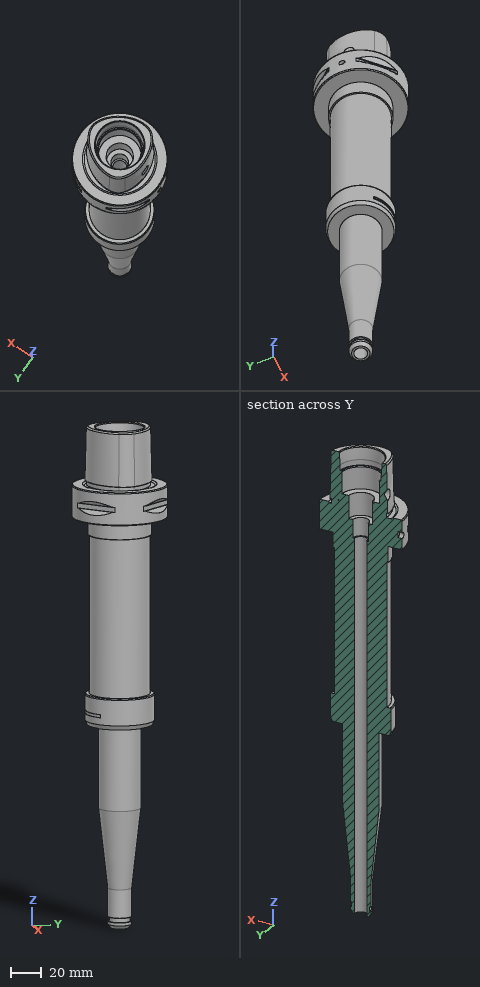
import cadquery as cq
import math

LENGTH = 334
FLANGE_TOP = 296.0
FLANGE_BOTTOM = 274
NECK_BOTTOM = 262.5
COLLAR_TOP = 156.5
COLLAR_BOTTOM = 136.0
CONE_TOP = 80
CONE_BOTTOM = 26.7
TIP_GROOVE_TOP = 7.7
TIP_GROOVE_BOTTOM = 4.7

FLANGE_DIAMETER = 63.0
NECK_DIAMETER = 42.0
BODY_DIAMETER = 40
COLLAR_DIAMETER = 46.0
STEM_DIAMETER = 28.0
SPIGOT_DIAMETER = 16.0
TIP_GROOVE_DIAMETER = 14.0

FLANGE_CHAMFER = 0.7
COLLAR_TOP_CHAMFER = 0.7
COLLAR_CHAMFER_WIDTH = 1.5
COLLAR_CHAMFER_HEIGHT = 3.0
TIP_CHAMFER_WIDTH = 2.0
TIP_CHAMFER_HEIGHT = 2.7

LOBES = 3
SHANK_BASE_RADIUS = 22.0
SHANK_TAPER = 1 / 40
ECCENTRICITY = 1.4
LOBE_HALF_ANGLE = 23.5
SHANK_EDGE_CHAMFER = 1.0
SHANK_UNDERCUT = 1.0
SHANK_FOOT_HEIGHT = 2.0
SHANK_TAPER_START = FLANGE_TOP + SHANK_FOOT_HEIGHT
POINTS_PER_FACE = 9

RECESS_DIAMETER = 48.8
RECESS_FLOOR_DIAMETER = 46.5
RECESS_DEPTH = 1.0

MOUTH_DIAMETER = 33.0
MOUTH_CHAMFER_DEPTH = 0.7
TAPER_TOP_DIAMETER = 32.0
TAPER_BOTTOM_DIAMETER = 30.7
TAPER_DEPTH = 9.5
LEDGE_DEPTH = 13.5
LEDGE_CHAMFER_DIAMETER = 29.0
LEDGE_CHAMFER_DEPTH = 0.7
CHAMBER_DIAMETER = 28.0
CHAMBER_DEPTH = 30
SOCKET_DIAMETER = 17.7
SOCKET_DEPTH = 46.8
COUNTERBORE_DIAMETER = 11.5
COUNTERBORE_DEPTH = 60
COOLANT_DIAMETER = 9.0

DIMPLE_DIAMETER = 8.0
DIMPLE_HEIGHT = 311.5
DIMPLE_CONE_ANGLE = 120
DIMPLE_CLEARANCE = 1.0

SLOT_HEIGHT = 284.5
SLOT_FLOOR_DISTANCE = 28.0
SLOT_FLOOR_WIDTH = 3.5
SLOT_FLANK_DISTANCE = 28.7
SLOT_MOUTH_WIDTH = 9.0
LOCATING_HOLE_DIAMETER = 4.0
LOCATING_HOLE_DEPTH = 3.5

BAND_HEIGHT = 2.0
BAND_MIDDLE = 144.5
BAND_DEPTH = 0.5
BAND_ANGLE = 90
BAND_START = -90 - BAND_ANGLE / 2


def revolve(profile):
    """Turn a closed (radius, height) profile about the Z axis."""
    return cq.Workplane("XZ").polyline(profile).close().revolve(360, (0, 0, 0), (0, 1, 0))


def turned_body():
    flange, neck, body = FLANGE_DIAMETER / 2, NECK_DIAMETER / 2, BODY_DIAMETER / 2
    collar, stem = COLLAR_DIAMETER / 2, STEM_DIAMETER / 2
    spigot, groove = SPIGOT_DIAMETER / 2, TIP_GROOVE_DIAMETER / 2
    return revolve([
        (0, FLANGE_TOP),
        (flange - FLANGE_CHAMFER, FLANGE_TOP),
        (flange, FLANGE_TOP - FLANGE_CHAMFER),
        (flange, FLANGE_BOTTOM + FLANGE_CHAMFER),
        (flange - FLANGE_CHAMFER, FLANGE_BOTTOM),
        (neck, FLANGE_BOTTOM),
        (neck, NECK_BOTTOM),
        (body, NECK_BOTTOM),
        (body, COLLAR_TOP),
        (collar - COLLAR_TOP_CHAMFER, COLLAR_TOP),
        (collar, COLLAR_TOP - COLLAR_TOP_CHAMFER),
        (collar, COLLAR_BOTTOM + COLLAR_CHAMFER_HEIGHT),
        (collar - COLLAR_CHAMFER_WIDTH, COLLAR_BOTTOM),
        (stem, COLLAR_BOTTOM),
        (stem, CONE_TOP),
        (spigot, CONE_BOTTOM),
        (spigot, TIP_GROOVE_TOP),
        (groove, TIP_GROOVE_TOP),
        (groove, TIP_GROOVE_BOTTOM),
        (spigot, TIP_GROOVE_BOTTOM),
        (spigot, TIP_CHAMFER_HEIGHT),
        (spigot - TIP_CHAMFER_WIDTH, 0),
        (0, 0),
    ])


def recess():
    rim, floor = RECESS_DIAMETER / 2, RECESS_FLOOR_DIAMETER / 2
    bottom = FLANGE_TOP - RECESS_DEPTH
    return revolve([(0, FLANGE_TOP), (rim, FLANGE_TOP), (floor, bottom), (0, bottom)])


def shank_point(radius, degrees, height):
    """Point of the lobed outline whose outward normal is turned by the angle from -X."""
    a = math.radians(degrees)
    x = -radius * math.cos(a) + 2 * ECCENTRICITY * math.cos(2 * a) - ECCENTRICITY * math.cos(4 * a)
    y = radius * math.sin(a) + 2 * ECCENTRICITY * math.sin(2 * a) + ECCENTRICITY * math.sin(4 * a)
    return cq.Vector(x, y, height)


def shank_outline(radius, height):
    """Closed outline of alternating flat faces and lobes."""
    pitch = 360 / LOBES
    flat_half_angle = pitch / 2 - LOBE_HALF_ANGLE
    edges = []
    for i in range(LOBES):
        flat_start = i * pitch - flat_half_angle
        lobe_start = i * pitch + flat_half_angle
        next_flat = flat_start + pitch
        for start, end in [(flat_start, lobe_start), (lobe_start, next_flat)]:
            step = (end - start) / (POINTS_PER_FACE - 1)
            points = [shank_point(radius, start + k * step, height) for k in range(POINTS_PER_FACE)]
            edges.append(cq.Edge.makeSpline(points))
    return cq.Wire.assembleEdges(edges)


def shank_stage(bottom_radius, bottom, top_radius, top):
    outlines = [shank_outline(bottom_radius, bottom), shank_outline(top_radius, top)]
    return cq.Workplane(cq.Solid.makeLoft(outlines, True))


def shank():
    chamfer_start = LENGTH - SHANK_EDGE_CHAMFER
    top_radius = SHANK_BASE_RADIUS - SHANK_TAPER * (chamfer_start - SHANK_TAPER_START)
    foot_radius = SHANK_BASE_RADIUS - SHANK_UNDERCUT
    foot = shank_stage(foot_radius, FLANGE_TOP - RECESS_DEPTH, foot_radius, SHANK_TAPER_START)
    taper = shank_stage(SHANK_BASE_RADIUS, SHANK_TAPER_START, top_radius, chamfer_start)
    edge = shank_stage(top_radius, chamfer_start, top_radius - SHANK_EDGE_CHAMFER, LENGTH)
    return foot.union(taper).union(edge)


def bore():
    mouth, taper_top, taper_bottom = MOUTH_DIAMETER / 2, TAPER_TOP_DIAMETER / 2, TAPER_BOTTOM_DIAMETER / 2
    ledge, chamber = LEDGE_CHAMFER_DIAMETER / 2, CHAMBER_DIAMETER / 2
    socket, counterbore, coolant = SOCKET_DIAMETER / 2, COUNTERBORE_DIAMETER / 2, COOLANT_DIAMETER / 2
    return revolve([
        (0, LENGTH),
        (mouth, LENGTH),
        (taper_top, LENGTH - MOUTH_CHAMFER_DEPTH),
        (taper_bottom, LENGTH - TAPER_DEPTH),
        (taper_bottom, LENGTH - LEDGE_DEPTH),
        (ledge, LENGTH - LEDGE_DEPTH),
        (chamber, LENGTH - LEDGE_DEPTH - LEDGE_CHAMFER_DEPTH),
        (chamber, LENGTH - CHAMBER_DEPTH),
        (socket, LENGTH - CHAMBER_DEPTH),
        (socket, LENGTH - SOCKET_DEPTH),
        (counterbore, LENGTH - SOCKET_DEPTH),
        (counterbore, LENGTH - COUNTERBORE_DEPTH),
        (coolant, LENGTH - COUNTERBORE_DEPTH),
        (coolant, 0),
        (0, 0),
    ])


def dimple():
    """Cone that reaches the dimple diameter at the middle of the -X flat."""
    flat_radius = SHANK_BASE_RADIUS - SHANK_TAPER * (DIMPLE_HEIGHT - SHANK_TAPER_START)
    flat_distance = flat_radius - ECCENTRICITY
    slope = math.tan(math.radians(DIMPLE_CONE_ANGLE / 2))
    depth = DIMPLE_DIAMETER / 2 / slope
    tip_distance = flat_distance - depth
    cone_height = depth + DIMPLE_CLEARANCE
    tip = cq.Vector(-tip_distance, 0, DIMPLE_HEIGHT)
    return cq.Workplane(cq.Solid.makeCone(0, cone_height * slope, cone_height, tip, cq.Vector(-1, 0, 0)))


def gripper_slots():
    """Straight slots with parallel walls and flared mouths across the flange at the four diagonals."""
    flange = FLANGE_DIAMETER / 2
    floor, mouth = SLOT_FLOOR_WIDTH / 2, SLOT_MOUTH_WIDTH / 2
    slot = (
        cq.Workplane("XZ")
        .polyline([
            (SLOT_FLOOR_DISTANCE, SLOT_HEIGHT - floor),
            (SLOT_FLOOR_DISTANCE, SLOT_HEIGHT + floor),
            (SLOT_FLANK_DISTANCE, SLOT_HEIGHT + floor),
            (flange, SLOT_HEIGHT + mouth),
            (flange, SLOT_HEIGHT - mouth),
            (SLOT_FLANK_DISTANCE, SLOT_HEIGHT - floor),
        ])
        .close()
        .extrude(flange, both=True)
    )
    slots = cq.Workplane("XY")
    for angle in (45, 135, 225, 315):
        slots = slots.union(slot.rotate((0, 0, 0), (0, 0, 1), angle))
    return slots


def locating_hole():
    plane = cq.Workplane("YZ", origin=(-FLANGE_DIAMETER / 2, 0, SLOT_HEIGHT))
    return plane.circle(LOCATING_HOLE_DIAMETER / 2).extrude(LOCATING_HOLE_DEPTH)


def marking_band():
    collar = COLLAR_DIAMETER / 2
    inner = collar - BAND_DEPTH
    bottom, top = BAND_MIDDLE - BAND_HEIGHT / 2, BAND_MIDDLE + BAND_HEIGHT / 2
    band = (
        cq.Workplane("XZ")
        .polyline([(inner, bottom), (collar, bottom), (collar, top), (inner, top)])
        .close()
        .revolve(BAND_ANGLE, (0, 0, 0), (0, 1, 0))
    )
    return band.rotate((0, 0, 0), (0, 0, 1), BAND_START)


result = (
    turned_body()
    .cut(recess())
    .union(shank())
    .cut(bore())
    .cut(dimple())
    .cut(gripper_slots())
    .cut(locating_hole())
    .cut(marking_band())
)